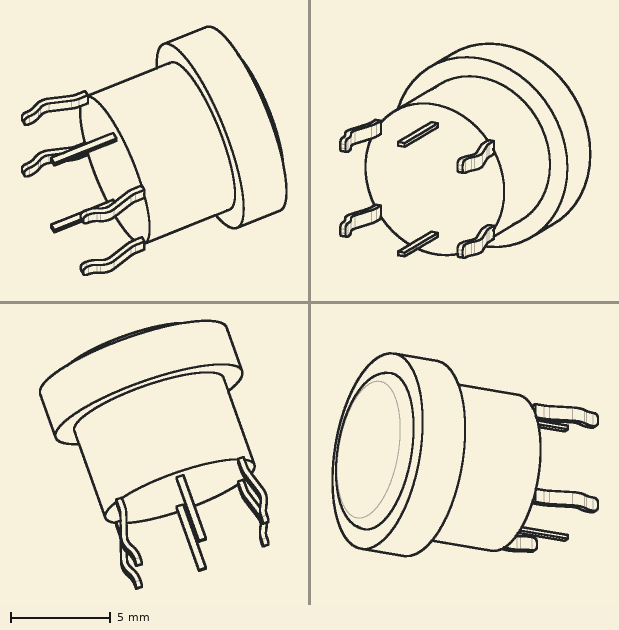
import cadquery as cq
import math

flange_diameter = 10.0
flange_thickness = 2.41
body_diameter = 8.0
body_length = 4.79
cap_height = 0.5
total_length = 11.2
terminal_length = total_length - cap_height - flange_thickness - body_length

pin_width = 0.38
pin_thickness = 0.2
pin_offset_z = 2.92

clip_thickness = 0.3
clip_width = 0.7
clip_offset_x = 3.25
clip_offset_z = 2.26
clip_tip_radius = 0.25
outward_angle = math.radians(17.5)
inward_angle = math.radians(28.5)
root_bend_radius = 1.12
knee_bend_radius = 0.78
tip_bend_radius = 1.05
root_bend_start = 0.49
knee_depth = 2.17
tip_bend_end = 3.2

body_end_y = -body_length


def disc(diameter, start_y, end_y):
    """Cylinder on the Y axis between two Y positions."""
    return cq.Workplane("XZ", origin=(0, end_y, 0)).circle(diameter / 2).extrude(end_y - start_y)


def make_housing():
    """Body, flange and a cap whose rim is a quarter round."""
    flat_radius = body_diameter / 2 - cap_height
    cap = (
        cq.Workplane("XY")
        .moveTo(0, flange_thickness)
        .lineTo(body_diameter / 2, flange_thickness)
        .radiusArc((flat_radius, flange_thickness + cap_height), -cap_height)
        .lineTo(0, flange_thickness + cap_height)
        .close()
        .revolve(360, (0, 0, 0), (0, 1, 0))
    )
    flange = disc(flange_diameter, 0, flange_thickness)
    body = disc(body_diameter, body_end_y, 0)
    return body.union(flange).union(cap)


def make_pin(z_sign):
    center = (0, body_end_y, z_sign * pin_offset_z)
    return cq.Workplane("XZ", origin=center).rect(pin_width, pin_thickness).extrude(terminal_length)


def make_clip():
    """Clip on the +X, +Z side: out to the knee, back in, then straight to a rounded tip."""

    def bend_rise(radius, angle):
        return radius * (1 - math.cos(angle))

    out_start = root_bend_start + root_bend_radius * math.sin(outward_angle)
    out_end = knee_depth - knee_bend_radius * math.sin(outward_angle)
    in_start = knee_depth + knee_bend_radius * math.sin(inward_angle)
    in_end = tip_bend_end - tip_bend_radius * math.sin(inward_angle)

    out_start_x = clip_offset_x + bend_rise(root_bend_radius, outward_angle)
    out_end_x = out_start_x + (out_end - out_start) * math.tan(outward_angle)
    knee_x = out_end_x + bend_rise(knee_bend_radius, outward_angle)
    in_start_x = knee_x - bend_rise(knee_bend_radius, inward_angle)
    in_end_x = in_start_x - (in_end - in_start) * math.tan(inward_angle)
    tip_x = in_end_x - bend_rise(tip_bend_radius, inward_angle)

    centerline = (
        cq.Workplane("XY", origin=(0, body_end_y, clip_offset_z))
        .moveTo(clip_offset_x, 0)
        .lineTo(clip_offset_x, -root_bend_start)
        .radiusArc((out_start_x, -out_start), -root_bend_radius)
        .lineTo(out_end_x, -out_end)
        .radiusArc((in_start_x, -in_start), knee_bend_radius)
        .lineTo(in_end_x, -in_end)
        .radiusArc((tip_x, -tip_bend_end), -tip_bend_radius)
        .lineTo(tip_x, -terminal_length)
    )
    strip = (
        cq.Workplane("XZ", origin=(clip_offset_x, body_end_y, clip_offset_z))
        .rect(clip_thickness, clip_width)
        .sweep(centerline)
    )
    return strip.faces("<Y").edges("|X").fillet(clip_tip_radius)


result = make_housing()

for z_sign in (1, -1):
    result = result.union(make_pin(z_sign))

right_clip = make_clip()
left_clip = right_clip.mirror("YZ")
for clip in (right_clip, left_clip):
    result = result.union(clip).union(clip.mirror("XY"))